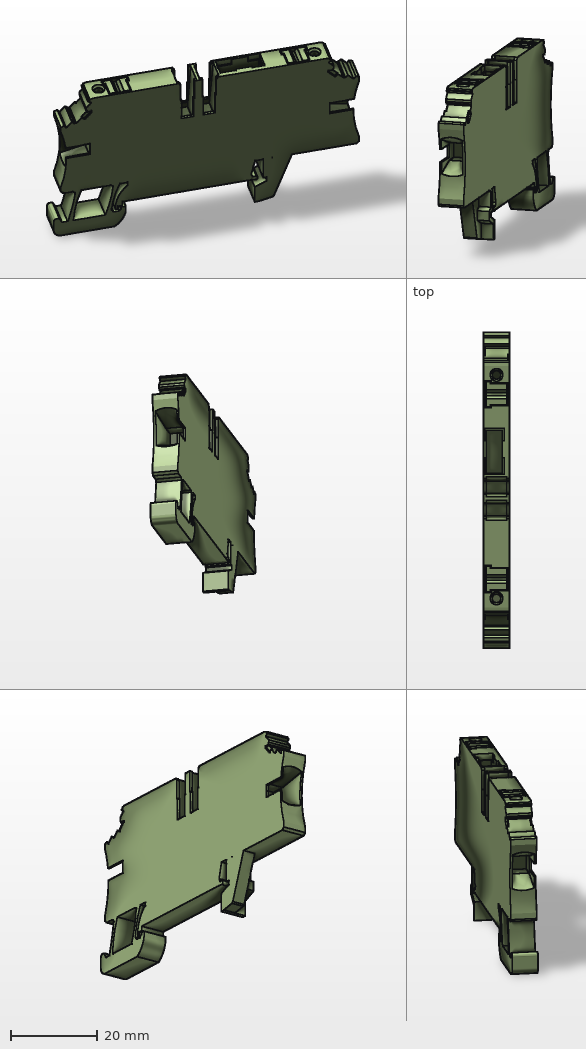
import cadquery as cq

thickness = 6.1
height = 39.4
half_length = 35.72
foot_end_y = -37.41

half_thickness = thickness / 2
belly_z = 12.49
rail_seat_z = 6.96
tool_margin = 1.0

flank_waist_y = 34.39
flank_waist_z = 22.98
flank_top_z = 30.91
flank_bottom_z = 14.5
stair_steps = [
    (34.94, 32.6),
    (34.43, 31.9),
    (33.07, 33.33),
    (32.45, 32.78),
    (32.01, 32.78),
    (29.43, 35.42),
    (29.43, 35.75),
    (29.7, 36.2),
    (29.7, 36.79),
    (28.45, 38.08),
    (29.21, 38.66),
    (28.82, 38.77),
    (28.77, 39.17),
]
roof_end_y = 27.95
end_tip_z = 32.3
bottom_corner = 0.6

slot_axis_y = -2.74
slot_floor_z = 28.86
slot_step_z = 34.21
fin_half_lower = 1.18
fin_half_upper = 0.96
slot_outer_lower = 4.04
slot_outer_upper = 4.26
slot_mouth_outer = 4.7
slot_mouth_z = 38.84
slot_channel_half_width = 2.35
slot_channel_floor_z = 27.5
slot_channel_fin_top = 0.4
slot_channel_mouth = 5.0

pocket_depth = 10.0
pocket_x = (-2.36, 1.37)
pocket_y = (3.1, 13.1)
pocket_wide_x = (-2.72, 1.76)
pocket_wide_depth = 1.5
pocket_wide_spans = [(2.85, 6.7), (10.6, 13.5)]

test_hole_y = 25.85
test_hole_radius = 1.0
test_hole_rim_radius = 1.45
test_hole_rim_depth = 0.6
test_hole_depth = 5.0
test_hole_tilt = 0.5

button_y = 21.38
button_depth = 8.0
button_gap = 0.22
button_slot_x = (-2.58, 2.62)
button_slot_length = 5.35
button_rail_length = 6.3
button_rail_width = 1.4
button_groove_half = 1.0
button_groove_floor_half = 0.3
button_groove_depth = 0.8
button_groove_shoulder = (0.5, height - 0.35)

funnel_mouth_half_width = 2.65
funnel_mouth_z = (19.15, 29.2)
funnel_mouth_corner_rise = 0.6
funnel_throat_x = (-1.6, 2.5)
funnel_throat_z = (22.1, 26.3)
funnel_throat_y = 28.7
wire_hole_end_y = 25.0
funnel_window_z = (22.8, 25.9)

tag_recess_depth = 0.45


def across(outline, width=thickness):
    """Extrude a closed YZ outline symmetrically about X = 0."""
    return outline.close().extrude(width / 2, both=True)


def polygon(points):
    return cq.Workplane("YZ").polyline(points)


def block(x_span, y_span, z_span):
    sizes = [high - low for low, high in (x_span, y_span, z_span)]
    return cq.Workplane("XY").box(*sizes, centered=False).translate((x_span[0], y_span[0], z_span[0]))


def both_ends(solid):
    """A solid at one end together with its mirror image about Y = 0."""
    return [solid, solid.mirror("XZ")]


def upper_housing():
    """Half of the symmetric profile with its waisted flank and steps, mirrored about Y = 0."""
    half = (
        cq.Workplane("YZ")
        .moveTo(0, belly_z)
        .lineTo(half_length - bottom_corner, belly_z)
        .lineTo(half_length, belly_z + bottom_corner)
        .lineTo(half_length, flank_bottom_z)
        .threePointArc((flank_waist_y, flank_waist_z), (half_length, flank_top_z))
        .lineTo(half_length, end_tip_z)
    )
    for step in stair_steps:
        half = half.lineTo(*step)
    half = across(half.lineTo(roof_end_y, height).lineTo(0, height))
    return half.union(half.mirror("XZ"))


def rail_block():
    """Block between the two rail claws, with a fixed nose at each lower corner."""
    outline = (
        cq.Workplane("YZ")
        .moveTo(10.77, belly_z + tool_margin)
        .lineTo(10.77, 12.18)
        .lineTo(9.89, 8.66)
        .lineTo(10.18, 7.89)
        .lineTo(11.1, 7.89)
        .threePointArc((11.43, 7.37), (11.06, 6.8))
        .lineTo(10.18, rail_seat_z)
        .lineTo(-20.99, rail_seat_z)
        .lineTo(-20.99, 5.86)
        .lineTo(-21.99, 5.86)
        .lineTo(-22.1, 5.02)
        .lineTo(-22.6, 5.02)
        .threePointArc((-22.1, 8.4), (-19.65, 11.7))
        .lineTo(-19.65, belly_z + tool_margin)
    )
    return across(outline)


def sprung_foot():
    """Sprung claw: a bar under the rail carried by two slanting legs, with a window between them."""
    outline = (
        cq.Workplane("YZ")
        .moveTo(-21.6, belly_z + tool_margin)
        .lineTo(-21.6, belly_z)
        .threePointArc((-22.9, 8.88), (-23.59, 5.13))
        .lineTo(-23.09, 4.41)
        .lineTo(-21.77, 4.41)
        .lineTo(-21.26, 4.96)
        .lineTo(-21.26, 5.46)
        .lineTo(-20.11, 5.46)
        .lineTo(-20.11, 4.03)
        .threePointArc((-21.0, 1.83), (-22.87, 0))
        .lineTo(-35.6, 0)
        .threePointArc((-36.88, 0.53), (foot_end_y, 1.81))
        .lineTo(foot_end_y, 4.5)
        .threePointArc((-37.2, 5.02), (-36.67, 5.24))
        .lineTo(-36.09, 5.24)
        .lineTo(-35.42, 3.92)
        .lineTo(-34.1, 3.92)
        .lineTo(-33.88, 4.36)
        .threePointArc((-33.0, 7.9), (-32.25, 11.9))
        .lineTo(-32.8, belly_z)
        .lineTo(-32.8, belly_z + tool_margin)
    )
    window = (
        cq.Workplane("YZ")
        .moveTo(-23.7, belly_z)
        .lineTo(-23.2, 12.1)
        .threePointArc((-23.8, 8.2), (-25.07, 3.92))
        .lineTo(-32.69, 3.92)
        .threePointArc((-32.1, 8.3), (-30.8, belly_z))
    )
    return across(outline).cut(across(window))


def fixed_foot():
    """Fixed claw: a bent strip of full thickness, stiffened by a web on the +X side."""
    web_thickness = 3.2
    strip_outer = [(11.83, 0.18), (11.83, 3.92), (15.13, 5.35), (15.13, 7.56), (13.86, 8.33), (13.86, 11.39)]
    strip_inner = [(12.76, 7.01), (13.64, 7.01), (13.64, 5.95), (10.73, 4.69), (10.73, 0.18)]
    strip = polygon([(12.76, belly_z)] + strip_inner + strip_outer)
    strip = across(strip.threePointArc((14.18, 12.17), (14.96, belly_z)))
    web = polygon(
        [(13.0, belly_z), (19.65, belly_z), (15.35, 1.17), (15.02, 0.84), (11.7, 0.2)]
        + strip_outer[1:]
    )
    web = web.close().extrude(web_thickness).translate((half_thickness - web_thickness, 0, 0))
    return strip.union(web)


def bridge_slots():
    """Two stepped slots through the thickness, each with a deeper, tapered channel in the middle of X."""
    above = height + tool_margin
    slot = across(
        polygon(
            [
                (fin_half_lower, slot_floor_z),
                (slot_outer_lower, slot_floor_z),
                (slot_outer_lower, slot_step_z),
                (slot_outer_upper, slot_step_z),
                (slot_outer_upper, slot_mouth_z),
                (slot_mouth_outer, height),
                (slot_mouth_outer, above),
                (fin_half_upper, above),
                (fin_half_upper, slot_step_z),
                (fin_half_lower, slot_step_z),
            ]
        ),
        thickness + 2 * tool_margin,
    )
    channel = across(
        polygon(
            [
                (fin_half_lower, slot_channel_floor_z),
                (slot_outer_lower, slot_channel_floor_z),
                (slot_channel_mouth, height),
                (slot_channel_fin_top, height),
            ]
        ),
        2 * slot_channel_half_width,
    )
    slot = slot.union(channel)
    return [side.translate((0, slot_axis_y, 0)) for side in both_ends(slot)]


def roof_pocket():
    roof_z = height + tool_margin
    pocket = block(pocket_x, pocket_y, (height - pocket_depth, roof_z))
    for span in pocket_wide_spans:
        pocket = pocket.union(block(pocket_wide_x, span, (height - pocket_wide_depth, roof_z)))
    return pocket


def test_hole():
    """Hole with a conical rim and a floor that slopes down towards the middle of the housing."""
    shaft = cq.Workplane("XY", origin=(0, 0, height)).circle(test_hole_radius).extrude(-test_hole_depth)
    rise = test_hole_tilt * 2 * test_hole_radius
    floor_z = height - test_hole_depth
    wedge = across(
        polygon(
            [
                (-test_hole_radius, floor_z),
                (test_hole_radius, floor_z),
                (test_hole_radius, floor_z + rise),
            ]
        )
    )
    rim = (
        cq.Workplane("XY", origin=(0, 0, height))
        .circle(test_hole_rim_radius)
        .workplane(offset=-test_hole_rim_depth)
        .circle(test_hole_radius)
        .loft()
    )
    return shaft.cut(wedge).union(rim).translate((0, test_hole_y, 0))


def wire_funnel():
    """Funnel from a round-topped mouth to a square throat, then a wire hole and a side window."""
    low_z, high_z = funnel_mouth_z
    rise = funnel_mouth_corner_rise
    x = funnel_mouth_half_width
    throat_width = funnel_throat_x[1] - funnel_throat_x[0]
    throat_height = funnel_throat_z[1] - funnel_throat_z[0]
    throat_centre = (sum(funnel_throat_x) / 2, sum(funnel_throat_z) / 2)

    mouth = (
        cq.Workplane("XZ", origin=(0, half_length, 0))
        .moveTo(-x, low_z + rise)
        .threePointArc((0, low_z), (x, low_z + rise))
        .lineTo(x, high_z - rise)
        .threePointArc((0, high_z), (-x, high_z - rise))
        .close()
    )
    funnel = (
        mouth.workplane(offset=half_length - funnel_throat_y)
        .center(*throat_centre)
        .rect(throat_width, throat_height)
        .loft(ruled=True)
    )
    hole = block(funnel_throat_x, (wire_hole_end_y, funnel_throat_y), funnel_throat_z)
    window = block((0, half_thickness + tool_margin), (funnel_throat_y, half_length), funnel_window_z)
    return funnel.union(hole).union(window)


def tag_recesses():
    """Shallow recesses in both side faces; only the -X face has a lower one at the +Y end."""
    upper = polygon([(-28.37, 35.69), (-28.26, 35.31), (-29.98, 33.49), (-30.75, 34.2), (-29.4, 35.6)])
    lower = polygon([(32.1, 31.9), (31.37, 31.9), (29.56, 33.66), (30.34, 34.5), (32.2, 32.7)])
    upper = upper.close().extrude(tag_recess_depth)
    lower = lower.close().extrude(tag_recess_depth)
    far_face = half_thickness - tag_recess_depth
    near_recesses = [solid.translate((-half_thickness, 0, 0)) for solid in (upper, lower)]
    return near_recesses + both_ends(upper.translate((far_face, 0, 0)))


def button_prism(gap):
    """L-shaped prism centred on Y = 0; the gap shrinks it on every side to clear the slot."""
    low_x, high_x = button_slot_x
    x_span = (low_x + gap, high_x - gap)
    z_span = (height - button_depth, height)
    half = button_slot_length / 2 - gap
    rail_half = button_rail_length / 2 - gap
    body = block(x_span, (-half, half), z_span)
    rail = block((low_x + gap, low_x + button_rail_width - gap), (-rail_half, rail_half), z_span)
    return body.union(rail)


def push_button(centre_y):
    """Button standing on the slot floor, with a screwdriver groove across its top."""
    groove_z = height - button_groove_depth
    groove = (
        cq.Workplane("YZ")
        .moveTo(-button_groove_half, height)
        .lineTo(-button_groove_floor_half, groove_z)
        .lineTo(button_groove_floor_half, groove_z)
        .threePointArc(button_groove_shoulder, (button_groove_half, height))
    )
    return button_prism(button_gap).cut(across(groove)).translate((0, centre_y, 0))


button_centres = [-button_y, button_y]

housing = upper_housing().union(rail_block()).union(sprung_foot()).union(fixed_foot())
cutters = bridge_slots() + [roof_pocket()] + tag_recesses()
cutters += both_ends(test_hole()) + both_ends(wire_funnel())
cutters += [button_prism(0).translate((0, centre, 0)) for centre in button_centres]
for cutter in cutters:
    housing = housing.cut(cutter)

buttons = [push_button(centre) for centre in button_centres]

result = cq.Compound.makeCompound([housing.val(), *[button.val() for button in buttons]])